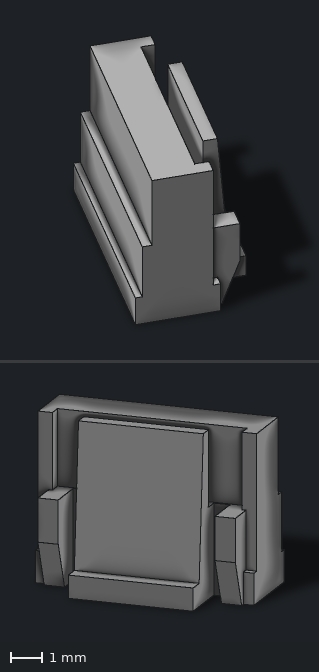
import cadquery as cq

width = 7.5
height = 5.7
base_height = 1.09
shoulder_height = 3.1
shoulder_front = 0.23
upper_front = 0.555
core_back = 2.205
upper_back = 2.12

wall_thickness = 0.5
wall_back = 2.6
flange_back = 2.85
rib_start = 0.37
rib_end = 1.065
rib_back = 3.6
rib_toe = 3.0
rib_chamfer_height = 1.61

latch_start = 1.61
latch_width = width - 2 * latch_start
latch_inner = 2.7
latch_tip_back = 3.195
latch_root_back = 3.585
foot_back = 4.15
foot_height = 0.79
web_width = 0.8


def block(x_start, x_end, y_start, y_end, top):
    """Box standing on the underside of the housing."""
    size = (x_end - x_start, y_end - y_start, top)
    return cq.Workplane("XY").box(*size, centered=False).translate((x_start, y_start, 0))


def extrude_profile(points, x_start, length):
    """Extrude a closed (Y, Z) profile along X."""
    return cq.Workplane("YZ").workplane(offset=x_start).polyline(points).close().extrude(length)


def make_core():
    profile = [
        (0, 0),
        (core_back, 0),
        (core_back, shoulder_height),
        (upper_back, shoulder_height),
        (upper_back, height),
        (upper_front, height),
        (upper_front, shoulder_height),
        (shoulder_front, shoulder_height),
        (shoulder_front, base_height),
        (0, base_height),
    ]
    return extrude_profile(profile, 0, width)


def make_left_side():
    """Side wall, base flange and guard rib at the low-X end."""
    wall = block(0, wall_thickness, upper_front, wall_back, height)
    flange = block(0, rib_start, upper_front, flange_back, base_height)
    rib_profile = [
        (upper_front, 0),
        (rib_toe, 0),
        (rib_back, rib_chamfer_height),
        (rib_back, shoulder_height),
        (upper_front, shoulder_height),
    ]
    rib = extrude_profile(rib_profile, rib_start, rib_end - rib_start)
    return wall.union(flange).union(rib)


def make_left_web():
    return block(latch_start, latch_start + web_width, upper_front, latch_inner, shoulder_height)


def make_latch():
    profile = [
        (latch_inner, 0),
        (foot_back, 0),
        (foot_back, foot_height),
        (latch_root_back, foot_height),
        (latch_tip_back, height),
        (latch_inner, height),
    ]
    return extrude_profile(profile, latch_start, latch_width)


left_features = make_left_side().union(make_left_web())
right_features = left_features.mirror("YZ").translate((width, 0, 0))

result = make_core().union(left_features).union(right_features).union(make_latch())